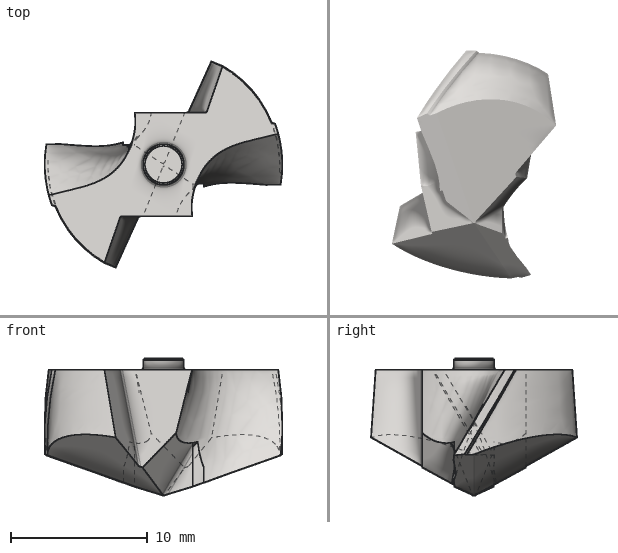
import cadquery as cq
import math

MARGIN_RADIUS = 8.7
LAND_RADIUS = 8.49
LAND_MIDDLE_RADIUS = 8.35
LAND_END_RADIUS = 8.18
POINT_DEPTH = 9.22
BODY_DEPTH = POINT_DEPTH + 0.35
TWIST_RATE = 3.966
CLEAR = 13.92

MARGIN_START = 15.0
MARGIN_END = 20.0
LAND_START = 21.2

WEB_HALF_WIDTH = 3.8
HEEL_CORNER_X = -3.15
HEEL_SLOPE_Y = 0.345
HEEL_SLOPE_Z = 0.19
HEEL_FILLET = 0.17

LIP_SLOPE = 0.356
FLANK_SLOPE = 0.4
STRIP_SLOPE = 0.07
GASH_SLOPE_X = 1.03
GASH_SLOPE_Y = -0.96
GASH_CORNER = (2.12, -1.43)
GASH_END_X = 2.95
GASH_FILLET = 0.26

PIN_RADIUS = 1.5
PIN_HEIGHT = 0.84
PIN_EDGE = 0.14


def polar(radius, angle):
    turn = math.radians(angle)
    return radius * math.cos(turn), radius * math.sin(turn)


def half_turn(points):
    return [(-x, -y) for x, y in points]


def both_sides(cutter):
    return cutter.union(cutter.rotate((0, 0, 0), (0, 0, 1), 180))


def below_plane(slope_x, slope_y):
    """Space under the plane through the point with the given X and Y slopes."""
    plane = cq.Plane(origin=(0, 0, -POINT_DEPTH), xDir=(1, 0, slope_x), normal=(-slope_x, -slope_y, 1))
    return cq.Workplane(plane).rect(4 * CLEAR, 4 * CLEAR).extrude(-2 * CLEAR)


def twisted_body():
    """Helical body bounded by the flutes, the raised margins and the relieved lands."""
    flute = [
        (2.12, -3.81),
        (2.1, -2.55),
        (2.38, -1.43),
        (2.92, -0.31),
        (3.83, 0.66),
        (5.15, 1.4),
        (6.73, 1.85),
        polar(MARGIN_RADIUS, MARGIN_START),
    ]
    flute_exit = -52.0
    land_end = flute_exit + 180
    margin = [
        polar(MARGIN_RADIUS, (MARGIN_START + MARGIN_END) / 2),
        polar(MARGIN_RADIUS, MARGIN_END),
    ]
    land_first = polar(LAND_RADIUS, LAND_START)
    land = [polar(LAND_MIDDLE_RADIUS, (LAND_START + land_end) / 2), polar(LAND_END_RADIUS, land_end)]

    outline = cq.Workplane("XY").moveTo(*polar(LAND_END_RADIUS, flute_exit))
    for side in (list, half_turn):
        curve = side(flute)
        outline = outline.lineTo(*curve[0]).spline(curve[1:], includeCurrent=True)
        outline = outline.threePointArc(*side(margin))
        outline = outline.lineTo(*side([land_first])[0]).threePointArc(*side(land))
    return outline.close().twistExtrude(-BODY_DEPTH, TWIST_RATE * BODY_DEPTH)


def heel_notch():
    """Notch between a flat web wall and the leaning heel wall, with a rounded corner."""
    corner = (HEEL_CORNER_X, -WEB_HALF_WIDTH)
    heel_far = (HEEL_CORNER_X - HEEL_SLOPE_Y * CLEAR, -WEB_HALF_WIDTH - CLEAR)
    notch = cq.Workplane("XY").polyline([
        corner,
        heel_far,
        (CLEAR, heel_far[1]),
        (CLEAR, -WEB_HALF_WIDTH),
    ]).close()
    lean = cq.Vector(HEEL_SLOPE_Z * CLEAR, 0, -CLEAR)
    prism = cq.Solid.extrudeLinear(notch.wires().val(), [], lean)
    nearest = cq.selectors.NearestToPointSelector(
        (HEEL_CORNER_X + lean.x / 2, -WEB_HALF_WIDTH, lean.z / 2))
    return cq.Workplane(prism).edges(nearest).fillet(HEEL_FILLET)


def gash():
    """Web-thinning cut from the point up to the flute, with a rounded root."""
    x, y = GASH_CORNER
    web_side = below_plane(GASH_SLOPE_X, GASH_SLOPE_Y)
    floor = cq.Workplane("XY").workplane(offset=-CLEAR)
    rake = floor.polyline([
        (-x, -y),
        (2 * x, 2 * y),
        (2 * x, -CLEAR),
        (-CLEAR / 2, -CLEAR),
    ]).close().extrude(CLEAR).intersect(web_side)
    root_rise = GASH_SLOPE_X * x + GASH_SLOPE_Y * y
    root = cq.selectors.NearestToPointSelector((x / 2, y / 2, root_rise / 2 - POINT_DEPTH))
    rake = rake.edges(root).fillet(GASH_FILLET)
    end_pocket = floor.polyline([
        GASH_CORNER,
        (GASH_END_X, y),
        (GASH_END_X, -CLEAR),
        (x, -CLEAR),
    ]).close().extrude(CLEAR).intersect(web_side)
    return rake.union(end_pocket)


def pin():
    """Locating pin with a chamfered top and a flared foot."""
    return (
        cq.Workplane("XZ")
        .lineTo(PIN_RADIUS + PIN_EDGE, 0)
        .radiusArc((PIN_RADIUS, PIN_EDGE), PIN_EDGE)
        .lineTo(PIN_RADIUS, PIN_HEIGHT - PIN_EDGE)
        .lineTo(PIN_RADIUS - PIN_EDGE, PIN_HEIGHT)
        .lineTo(0, PIN_HEIGHT)
        .close()
        .revolve(360, (0, 0, 0), (0, 1, 0))
    )


body = twisted_body().cut(both_sides(heel_notch()))
for flank_slope in (FLANK_SLOPE, STRIP_SLOPE):
    for side in (1, -1):
        body = body.cut(below_plane(side * LIP_SLOPE, side * flank_slope))
for angle in (0, 180):
    body = body.cut(gash().rotate((0, 0, 0), (0, 0, 1), angle))
result = body.union(pin())